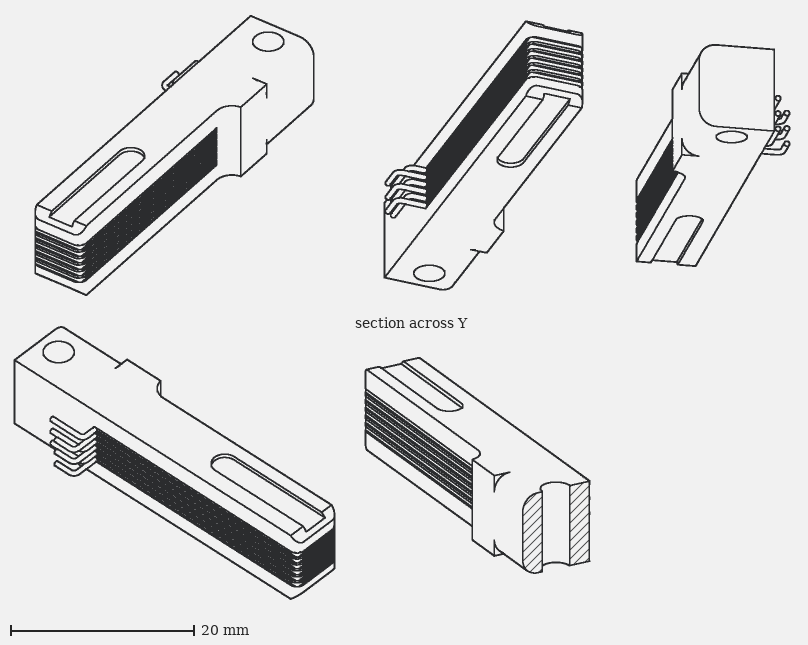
import cadquery as cq
import math


length = 42.0
height = 9.6
nose_width = 6.6
head_width = 8.4
shoulder_y = 28.0
shoulder_radius = 2.0
nose_corner_radius = 1.0
nose_chamfer = 1.0
hole_diameter = 3.4
hole_x = head_width / 2
hole_setback = 2.7
head_round_length = 9.0
head_round_radius = 1.9

slot_width = 3.0
slot_x = 3.5
slot_tip_y = 15.5
slot_depth = 0.5

contact_count = 6
contact_pitch = 0.9
first_contact_z = 2.4
pin_diameter = 0.6
pin_y = 30.0
bend_radius = 0.6
near_reach = 2.0
near_tip_y = 34.6
far_reach = 3.4
far_tip_y = 32.7
groove_width = pin_diameter
groove_depth = 0.2
groove_corner_radius = 0.3

shoulder_arc_x = nose_width + shoulder_radius
shoulder_arc_rise = math.sqrt(shoulder_radius**2 - (shoulder_arc_x - head_width) ** 2)
shoulder_start_y = shoulder_y - shoulder_arc_rise

contact_heights = [first_contact_z + i * contact_pitch for i in range(contact_count)]


def make_body_blank():
    """Plan outline with a concave shoulder between the narrow nose and the wide head."""
    blank = (
        cq.Workplane("XY")
        .lineTo(nose_width, 0)
        .lineTo(nose_width, shoulder_start_y)
        .radiusArc((head_width, shoulder_y), shoulder_radius)
        .lineTo(head_width, length)
        .lineTo(0, length)
        .close()
        .extrude(height)
    )
    return blank.faces("<Y").edges("|Z").fillet(nose_corner_radius)


def make_nose_chamfers():
    """Wedges removed along the top and bottom edges of the nose."""
    profile = [(0, 0), (nose_chamfer, 0), (0, nose_chamfer)]
    bottom = cq.Workplane("YZ").polyline(profile).close().extrude(nose_width)
    return bottom.union(bottom.mirror("XY", (0, 0, height / 2)))


def make_slots():
    """Round-tipped slots, open at the nose, in the top and bottom faces."""
    tip_centre_y = slot_tip_y - slot_width / 2
    bottom = (
        cq.Workplane("XY")
        .moveTo(slot_x - slot_width / 2, 0)
        .lineTo(slot_x + slot_width / 2, 0)
        .lineTo(slot_x + slot_width / 2, tip_centre_y)
        .threePointArc((slot_x, slot_tip_y), (slot_x - slot_width / 2, tip_centre_y))
        .close()
        .extrude(slot_depth)
    )
    return bottom.union(bottom.mirror("XY", (0, 0, height / 2)))


def make_head_rounds():
    """Material removed to round the long outer edges of the head, top and bottom."""
    bottom = (
        cq.Workplane("XZ", origin=(0, length, 0))
        .moveTo(head_width, 0)
        .lineTo(head_width - head_round_radius, 0)
        .radiusArc((head_width, head_round_radius), -head_round_radius)
        .close()
        .extrude(head_round_length)
    )
    return bottom.union(bottom.mirror("XY", (0, 0, height / 2)))


def make_groove(z):
    """Shallow channel from a round end at the pin, around the nose, to the start of the shoulder."""
    core = (
        cq.Workplane("XY")
        .moveTo(groove_depth, groove_depth)
        .rect(nose_width - 2 * groove_depth, length, centered=False)
        .extrude(groove_width)
        .edges("|Z and <Y")
        .fillet(groove_corner_radius)
    )
    band = (
        cq.Workplane("XY")
        .lineTo(nose_width, 0)
        .lineTo(nose_width, shoulder_start_y)
        .lineTo(nose_width / 2, shoulder_start_y)
        .lineTo(nose_width / 2, pin_y)
        .lineTo(0, pin_y)
        .close()
        .extrude(groove_width)
        .cut(core)
        .translate((0, 0, z - groove_width / 2))
    )
    round_end = cq.Workplane("YZ").center(pin_y, z).circle(groove_width / 2).extrude(groove_depth)
    return band.union(round_end)


def make_housing():
    hole = (
        cq.Workplane("XY")
        .center(hole_x, length - hole_setback)
        .circle(hole_diameter / 2)
        .extrude(height)
    )
    housing = make_body_blank().cut(make_nose_chamfers()).cut(make_slots())
    housing = housing.cut(make_head_rounds()).cut(hole)
    for z in contact_heights:
        housing = housing.cut(make_groove(z))
    return housing.solids()


def make_pin(z, reach, tip_y):
    """Round pin from the contact face at the groove's end, bent toward the head of the housing."""
    bend_x = bend_radius - reach
    path = (
        cq.Workplane("XY", origin=(0, 0, z))
        .moveTo(0, pin_y)
        .lineTo(bend_x, pin_y)
        .radiusArc((-reach, pin_y + bend_radius), bend_radius)
        .lineTo(-reach, tip_y)
    )
    section = cq.Workplane("YZ", origin=(0, pin_y, z)).circle(pin_diameter / 2)
    return section.sweep(path)


housing = make_housing()

pins = []
for index, z in enumerate(contact_heights):
    if index % 2 == 0:
        pins.append(make_pin(z, far_reach, far_tip_y))
    else:
        pins.append(make_pin(z, near_reach, near_tip_y))

result = cq.Compound.makeCompound([housing.val(), *[pin.val() for pin in pins]])